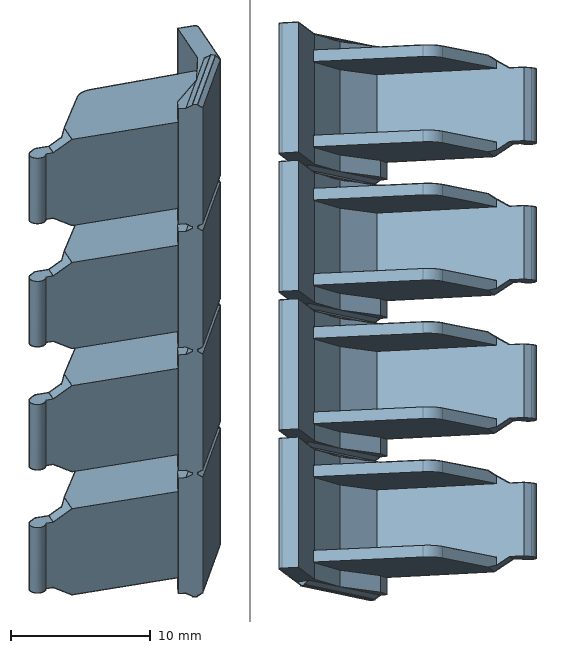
import cadquery as cq
import math

overall_height = 40.4
clip_count = 4
ridge_slope_height = 0.25
ridge_land_height = 0.06
ridge_height = ridge_slope_height + ridge_land_height
clip_pitch = overall_height / clip_count
panel_height = clip_pitch - 2 * ridge_height

panel_width = 11.6
panel_thickness = 1.5
panel_edge_radius = 0.3
bend_outside = (5.25, 0)
bend_inside = (4.52, -panel_thickness)
wing_crease = (7.6, -2.6)
wing_lip = (10.22, -4.9)
wing_end_inside = (11.15, -5.15)
wing_end_outside = (panel_width, -3.45)

ridge_base_width = 1.17
ridge_outer_slope = 0.35
ridge_top_width = 0.35

arm_width = 7.05
plate_thickness = 0.85
web_width = arm_width - 2 * plate_thickness
web_inside = 9.98
web_outside = 11.0
plate_root_left = 4.25
plate_draft = 1.7
plate_end_angle = 30
plate_end_y = -13.55
plate_corner_radius = 1.5
taper_start_y = -13.1
taper_end_y = -14.5

arm_tip_y = -16.25
bead_radius = 0.6
bead_centre = (10.83, arm_tip_y + bead_radius)
bead_lead_in = (web_inside, -15.55)

wing_angle = math.atan2(wing_end_outside[1] - bend_outside[1], wing_end_outside[0] - bend_outside[0])
wing_along = (math.cos(wing_angle), math.sin(wing_angle))
wing_inward = (math.sin(wing_angle), -math.cos(wing_angle))


def upright(profile, height):
    """Extrude a plan profile symmetrically about Z = 0."""
    return profile.extrude(height / 2, both=True)


def panel_profile():
    return (
        cq.Workplane("XY")
        .polyline([
            (0, 0),
            bend_outside,
            wing_end_outside,
            wing_end_inside,
            wing_lip,
            wing_crease,
            bend_inside,
            (0, -panel_thickness),
        ])
        .close()
    )


def panel():
    body = upright(panel_profile(), panel_height)
    return body.edges("|Z and <X and >Y").fillet(panel_edge_radius)


def ridge_band():
    """Ridge running along the wing on both ends of the clip, trimmed flush with the wing end."""
    base = panel_height / 2
    shoulder = base + ridge_slope_height
    top = base + ridge_height
    top_start = ridge_outer_slope
    top_end = ridge_outer_slope + ridge_top_width
    half_section = [
        (0, base),
        (top_start, shoulder),
        (top_start, top),
        (top_end, top),
        (top_end, shoulder),
        (ridge_base_width, base),
    ]
    mirrored = [(across, -z) for across, z in reversed(half_section)]
    section_plane = cq.Plane(
        origin=(bend_outside[0], bend_outside[1], 0),
        xDir=(wing_inward[0], wing_inward[1], 0),
        normal=(wing_along[0], wing_along[1], 0),
    )
    section = cq.Workplane(section_plane).polyline(half_section + mirrored).close()
    band = section.extrude(panel_width)
    return band.intersect(upright(panel_profile(), clip_pitch))


def plate_block():
    """Full-width block with the plan outline of the plates, reaching back into the panel."""
    draft_slope = math.tan(math.radians(plate_draft))
    end_slope = math.tan(math.radians(plate_end_angle))
    free_end_y_at_root = plate_end_y + (web_inside - plate_root_left) * end_slope
    corner_x = plate_root_left - draft_slope * (free_end_y_at_root + panel_thickness) / (1 - draft_slope * end_slope)
    corner_y = plate_end_y + (web_inside - corner_x) * end_slope
    profile = (
        cq.Workplane("XY")
        .polyline([
            (plate_root_left, -panel_thickness),
            (corner_x, corner_y),
            (web_inside, plate_end_y),
            (web_outside, plate_end_y),
            (web_outside, wing_lip[1]),
            wing_lip,
            wing_crease,
            bend_inside,
        ])
        .close()
    )
    block = upright(profile, arm_width)
    corner = cq.selectors.NearestToPointSelector((corner_x, corner_y, 0))
    return block.edges("|Z").edges(corner).fillet(plate_corner_radius)


def web():
    """Upright web with a bead along its tip."""
    to_bead = (bead_centre[0] - bead_lead_in[0], bead_centre[1] - bead_lead_in[1])
    bead_distance = math.hypot(to_bead[0], to_bead[1])
    tangent_angle = math.atan2(to_bead[1], to_bead[0]) - math.asin(bead_radius / bead_distance)
    tangent_length = math.sqrt(bead_distance**2 - bead_radius**2)
    tangent_point = (
        bead_lead_in[0] + tangent_length * math.cos(tangent_angle),
        bead_lead_in[1] + tangent_length * math.sin(tangent_angle),
    )
    bead_start_y = bead_centre[1] + math.sqrt(bead_radius**2 - (web_outside - bead_centre[0])**2)
    profile = (
        cq.Workplane("XY")
        .moveTo(web_inside, wing_lip[1])
        .lineTo(*bead_lead_in)
        .lineTo(*tangent_point)
        .threePointArc((bead_centre[0] + bead_radius, bead_centre[1]), (web_outside, bead_start_y))
        .lineTo(web_outside, wing_lip[1])
        .close()
    )
    return upright(profile, arm_width)


def arm_envelope():
    """Side outline of the arm: full width at the panel, tapering to the web width at the tip."""
    wide = arm_width / 2
    narrow = web_width / 2
    half_outline = [
        (0, wide),
        (taper_start_y, wide),
        (taper_end_y, narrow),
        (arm_tip_y, narrow),
    ]
    mirrored = [(y, -z) for y, z in reversed(half_outline)]
    return cq.Workplane("YZ").polyline(half_outline + mirrored).close().extrude(panel_width)


def arm():
    channel = cq.Workplane("XY").box(web_inside, -2 * arm_tip_y, web_width, centered=(False, True, True))
    plates = plate_block().cut(channel)
    return plates.union(web()).intersect(arm_envelope())


def clip():
    return panel().union(ridge_band()).union(arm())


single_clip = clip()
result = cq.Workplane("XY")
for index in range(clip_count):
    clip_centre = (index + 0.5) * clip_pitch
    result = result.union(single_clip.translate((0, 0, clip_centre)))